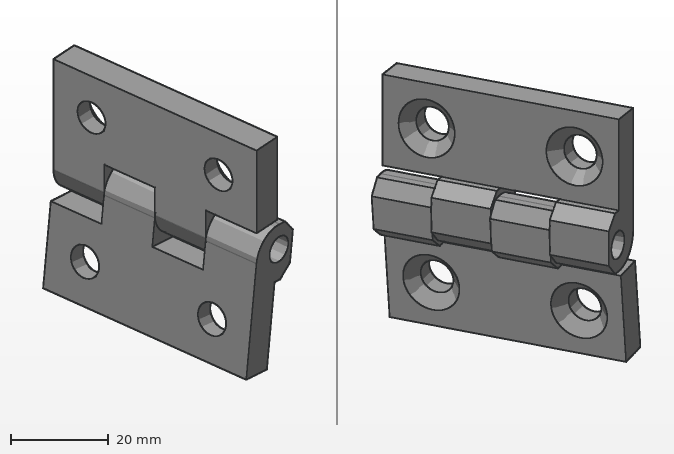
import cadquery as cq

width = 53.77
knuckle_count = 4
open_angle = 7.0
leaf_thickness = width / 8
knuckle_depth = 11.36
chamfer = 2.9
pin_hole_diameter = 6.0
screw_hole_diameter = 7.4
countersink_diameter = 12.8
countersink_angle = 90.0

axis_drop = 0.75
axis_setback = 0.45

knuckle_width = width / knuckle_count
knuckle_height = knuckle_width
round_radius = knuckle_height / 2
plate_height = 1.5 * knuckle_width
screw_inset = 0.75 * knuckle_width

plate_back = -axis_setback
plate_front = plate_back - leaf_thickness
knuckle_back = plate_front + knuckle_depth
knuckle_top = axis_drop + knuckle_height / 2
knuckle_bottom = knuckle_top - knuckle_height
leaf_top = knuckle_top + plate_height


def leaf_blank():
    """Full-width leaf: plate with a chamfered knuckle band, rounded at the lower front."""
    return (
        cq.Workplane("YZ")
        .workplane(offset=-width / 2)
        .moveTo(plate_front, leaf_top)
        .lineTo(plate_back, leaf_top)
        .lineTo(plate_back, knuckle_top)
        .lineTo(knuckle_back - chamfer, knuckle_top)
        .lineTo(knuckle_back, knuckle_top - chamfer)
        .lineTo(knuckle_back, knuckle_bottom + chamfer)
        .lineTo(knuckle_back - chamfer, knuckle_bottom)
        .lineTo(plate_front + round_radius, knuckle_bottom)
        .radiusArc((plate_front, knuckle_bottom + round_radius), round_radius)
        .close()
        .extrude(width)
    )


def knuckle_gap(index):
    """Block that clears the space for one knuckle of the other leaf."""
    return cq.Workplane("XY").box(
        knuckle_width, knuckle_depth, knuckle_height, centered=False
    ).translate((-width / 2 + index * knuckle_width, plate_front, knuckle_bottom))


def make_leaf():
    """Upright leaf with knuckles at even positions, starting from -X."""
    leaf = leaf_blank()
    for index in range(1, knuckle_count, 2):
        leaf = leaf.cut(knuckle_gap(index))

    pin_hole = (
        cq.Workplane("YZ")
        .workplane(offset=-width / 2)
        .circle(pin_hole_diameter / 2)
        .extrude(width)
    )
    leaf = leaf.cut(pin_hole)

    screw_x = width / 2 - screw_inset
    screw_z = leaf_top - screw_inset
    return (
        leaf.copyWorkplane(cq.Workplane("XZ", origin=(0, plate_back, 0)))
        .transformed(rotate=(0, 180, 0))
        .pushPoints([(-screw_x, screw_z), (screw_x, screw_z)])
        .cskHole(screw_hole_diameter, countersink_diameter, countersink_angle, leaf_thickness)
    )


upper_leaf = make_leaf()

lower_leaf = (
    make_leaf()
    .rotate((0, 0, 0), (0, 1, 0), 180)
    .rotate((0, 0, 0), (1, 0, 0), -open_angle)
)

result = cq.Compound.makeCompound([upper_leaf.val(), lower_leaf.val()])